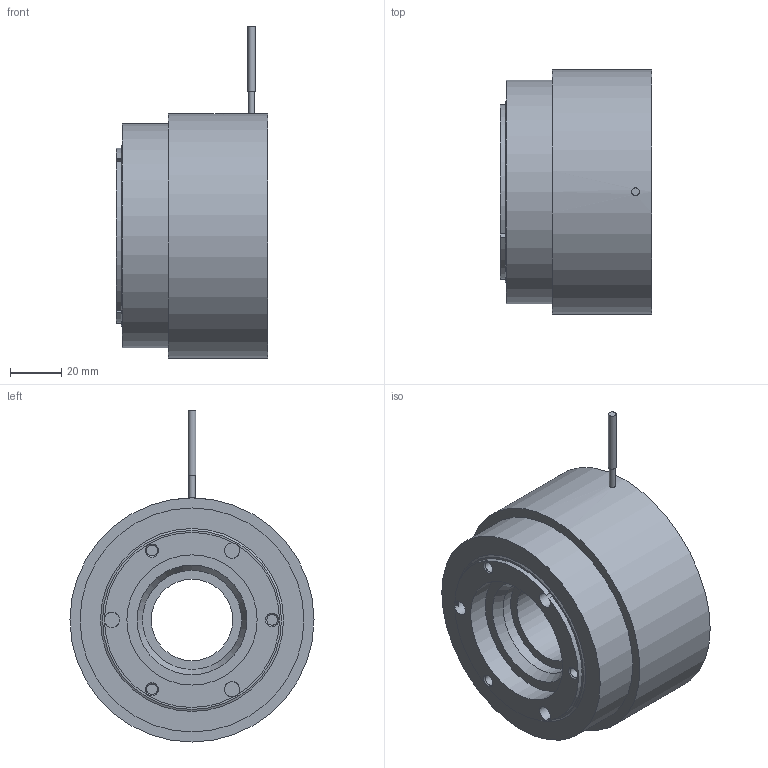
import cadquery as cq
LENGTH = 59.18
HUB_X = 2.0
COLLAR_X = 2.4
BODY_X = 20.4

BODY_RADIUS = 95.25 / 2
FLANGE_RADIUS = 87.38 / 2
COLLAR_RADIUS = 35.7
COLLAR_TIP_RADIUS = 34.9
HUB_RADIUS = 34.15

COUNTERBORE_RADIUS = 25.4
COUNTERBORE_DEPTH = 8.1
TAPER_MOUTH_RADIUS = 21.4
TAPER_END_X = 11.9
SEAT_RADIUS = 19.35
SEAT_END_X = 16.0
BORE_RADIUS = 31.75 / 2

BOLT_CIRCLE_RADIUS = 31.25
HOLES_PER_SET = 3
LARGE_HOLE_DIAMETER = 6.0
LARGE_HOLE_ANGLE = 0
SMALL_HOLE_DIAMETER = 4.2
SMALL_HOLE_MOUTH_DIAMETER = 5.1
SMALL_HOLE_ANGLE = 60
HOLE_DEPTH = 8.0

LEAD_X = 52.8
LEAD_TOP_Z = 129.54 - BODY_RADIUS
SLEEVE_LENGTH = 25.4
SLEEVE_DIAMETER = 3.0
WIRE_DIAMETER = 2.4
WIRE_EMBED = 2.0


def make_body():
    """Turned body with its stepped bore, revolved about the X axis."""
    profile = [
        (0, COUNTERBORE_RADIUS),
        (0, HUB_RADIUS),
        (HUB_X, HUB_RADIUS),
        (HUB_X, COLLAR_TIP_RADIUS),
        (COLLAR_X, COLLAR_RADIUS),
        (COLLAR_X, FLANGE_RADIUS),
        (BODY_X, FLANGE_RADIUS),
        (BODY_X, BODY_RADIUS),
        (LENGTH, BODY_RADIUS),
        (LENGTH, BORE_RADIUS),
        (SEAT_END_X, BORE_RADIUS),
        (SEAT_END_X, SEAT_RADIUS),
        (TAPER_END_X, SEAT_RADIUS),
        (COUNTERBORE_DEPTH, TAPER_MOUTH_RADIUS),
        (COUNTERBORE_DEPTH, COUNTERBORE_RADIUS),
    ]
    return cq.Workplane("XY").polyline(profile).close().revolve(360, (0, 0, 0), (1, 0, 0))


def hole_set(diameter, depth, start_angle):
    """Cutters for equally spaced holes sunk from the hub face, starting from +Y."""
    return (
        cq.Workplane("YZ")
        .polarArray(BOLT_CIRCLE_RADIUS, start_angle, 360, HOLES_PER_SET)
        .circle(diameter / 2)
        .extrude(depth)
    )


def small_hole_countersinks():
    """Conical cutters that open the small holes at 45 degrees."""
    sink_depth = (SMALL_HOLE_MOUTH_DIAMETER - SMALL_HOLE_DIAMETER) / 2
    cone = cq.Solid.makeCone(
        SMALL_HOLE_MOUTH_DIAMETER / 2,
        SMALL_HOLE_DIAMETER / 2,
        sink_depth,
    )
    return (
        cq.Workplane("YZ")
        .polarArray(BOLT_CIRCLE_RADIUS, SMALL_HOLE_ANGLE, 360, HOLES_PER_SET)
        .eachpoint(lambda location: cone.moved(location), useLocalCoordinates=True)
    )


def make_lead():
    """Bare wire rising from the body into a thicker sleeve."""
    sleeve_z = LEAD_TOP_Z - SLEEVE_LENGTH
    wire_z = BODY_RADIUS - WIRE_EMBED
    wire = (
        cq.Workplane("XY", origin=(LEAD_X, 0, wire_z))
        .circle(WIRE_DIAMETER / 2)
        .extrude(sleeve_z - wire_z)
    )
    sleeve = (
        cq.Workplane("XY", origin=(LEAD_X, 0, sleeve_z))
        .circle(SLEEVE_DIAMETER / 2)
        .extrude(SLEEVE_LENGTH)
    )
    return wire.union(sleeve)


result = (
    make_body()
    .cut(hole_set(LARGE_HOLE_DIAMETER, HOLE_DEPTH, LARGE_HOLE_ANGLE))
    .cut(hole_set(SMALL_HOLE_DIAMETER, HOLE_DEPTH, SMALL_HOLE_ANGLE))
    .cut(small_hole_countersinks())
    .union(make_lead())
)